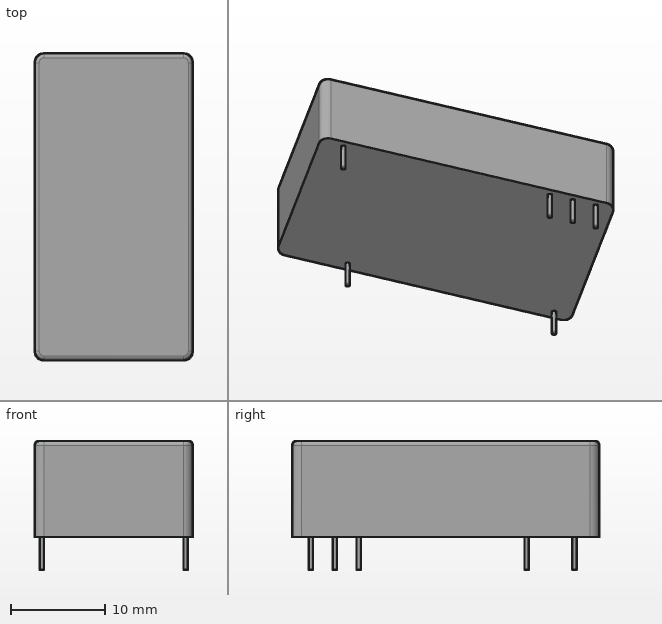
import cadquery as cq

case_width = 16.8
case_length = 32.6
total_height = 13.7
corner_radius = 1.0
top_edge_radius = 0.5

pin_diameter = 0.5
pin_length = 3.5
pin_tip_fillet = 0.1
pin_pitch = 2.55
row_spacing = 6 * pin_pitch
first_pin_y = -14.3
left_row_positions = [0, 1, 2, 11]
right_row_positions = [0, 9]

case_height = total_height - pin_length


def make_case():
    """Block standing on Z = 0 with rounded vertical corners and a rounded top rim."""
    block = cq.Workplane("XY").box(
        case_width, case_length, case_height, centered=(True, True, False)
    )
    return block.edges("|Z").fillet(corner_radius).faces(">Z").edges().fillet(top_edge_radius)


def make_pin_row(x, positions):
    """Pins hanging below the case at the given grid positions, with rounded tips."""
    points = [(x, first_pin_y + position * pin_pitch) for position in positions]
    pins = cq.Workplane("XY").pushPoints(points).circle(pin_diameter / 2).extrude(-pin_length)
    return pins.faces("<Z").edges().fillet(pin_tip_fillet)


left_pins = make_pin_row(-row_spacing / 2, left_row_positions)
right_pins = make_pin_row(row_spacing / 2, right_row_positions)

result = make_case().union(left_pins).union(right_pins)